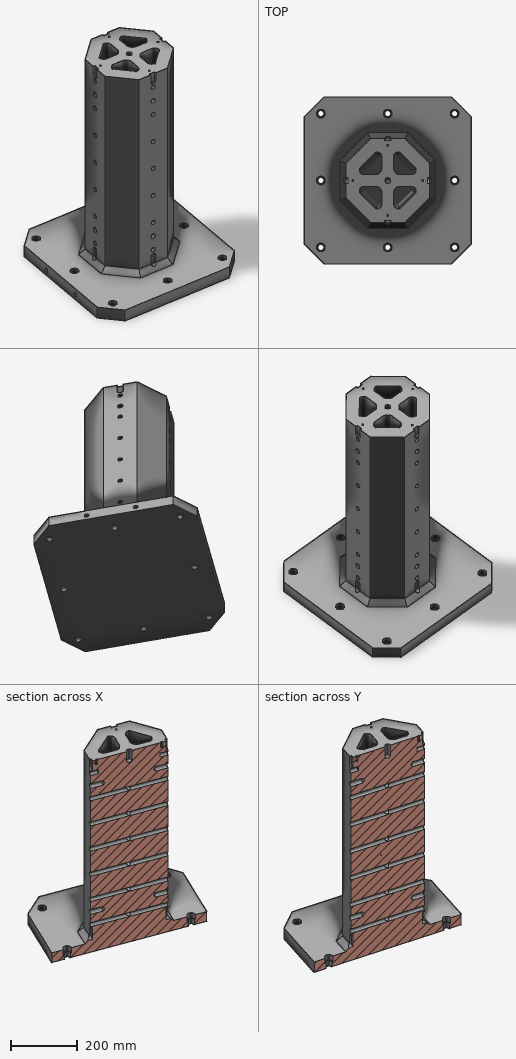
import cadquery as cq
import math

total_height = 760
plate_size = 500.0
plate_thickness = 40.0
plate_corner_cut = 60.0

column_width = 250.0
foot_flare = 18.0
foot_angle = 45

core_width = 170.0
core_floor_z = plate_thickness
core_floor_radius = 15
web_thickness = 35.0
pocket_inner_radius = 20.0
pocket_outer_radius = 15

hole_step = 50.0
through_hole_steps = (3, 5, 7, 9, 11, 13)
through_hole_diameter = 14.0
drilled_hole_steps = (2, 12)
drilled_hole_diameter = 16.0
drilled_hole_depth = 40.0
drill_point_angle = 118
locating_hole_step = 1
locating_hole_diameter = 14.0
locating_hole_depth = 25.0

slot_width = 18.0
slot_depth = 6.0
top_slot_length = 37.0
bottom_slot_low_z = 52.0
bottom_slot_high_z = 95.0

center_hole_diameter = 17.5
center_hole_depth = 40.0
pin_hole_diameter = 5.0
pin_hole_offset = 105.0
pin_hole_depth = 20.0

bolt_spacing = 200.0
bolt_hole_diameter = 18.0
bolt_head_diameter = 26.0
bolt_head_depth = 20.0
side_hole_offset = 75.0
side_hole_z = 18.0
side_hole_diameter = 14.0
side_hole_depth = 30.5

face_distance = column_width / 2


def octagon(width):
    """Corner points of a regular octagon with flats facing X and Y."""
    circle_diameter = width / math.cos(math.pi / 8)
    corner_radius = circle_diameter / 2
    angles = [math.pi / 8 + index * math.pi / 4 for index in range(8)]
    return [(corner_radius * math.cos(angle), corner_radius * math.sin(angle)) for angle in angles]


def octagon_prism(width, low_z, high_z):
    return cq.Workplane("XY", origin=(0, 0, low_z)).polyline(octagon(width)).close().extrude(high_z - low_z)


def drilled_hole(diameter, depth):
    """Blind hole with a drill point, entering the XY plane downwards at the origin."""
    radius = diameter / 2
    point_length = radius / math.tan(math.radians(drill_point_angle / 2))
    profile = [(0, 0), (radius, 0), (radius, -depth), (0, -depth - point_length)]
    return cq.Workplane("XZ").polyline(profile).close().revolve(360, (0, 0), (0, 1))


def facing_front(tool):
    """Turn a tool that enters downwards so that it enters towards +Y."""
    return tool.rotate((0, 0, 0), (1, 0, 0), 90)


def on_four_faces(tool):
    """Copies of a tool for the -Y face, repeated around the column."""
    return [tool.rotate((0, 0, 0), (0, 0, 1), quarter * 90) for quarter in range(4)]


def make_body():
    plate = cq.Workplane("XY").box(plate_size, plate_size, plate_thickness, centered=(True, True, False))
    plate = plate.edges("|Z").chamfer(plate_corner_cut)
    column = octagon_prism(column_width, plate_thickness, total_height)
    foot = cq.Workplane("XY", origin=(0, 0, plate_thickness))
    foot = foot.polyline(octagon(column_width + 2 * foot_flare)).close().extrude(foot_flare, taper=foot_angle)
    return plate.union(column).union(foot)


def make_pockets():
    """Four pockets with rounded upright edges and a floor that curves up into the core flats."""
    rounded_core = octagon_prism(core_width, core_floor_z, total_height)
    rounded_core = rounded_core.faces("<Z").edges().fillet(core_floor_radius)

    near = web_thickness / 2
    far = core_width / 2
    flat_end = far * math.tan(math.pi / 8)
    outline = [(near, near), (far, near), (far, flat_end), (flat_end, far), (near, far)]
    pocket = cq.Workplane("XY", origin=(0, 0, core_floor_z)).polyline(outline).close()
    pocket = pocket.extrude(total_height - core_floor_z)
    middle_z = (core_floor_z + total_height) / 2
    pocket = pocket.edges(cq.NearestToPointSelector((near, near, middle_z))).fillet(pocket_inner_radius)
    for corner in ((far, near, middle_z), (near, far, middle_z)):
        pocket = pocket.edges(cq.NearestToPointSelector(corner)).fillet(pocket_outer_radius)
    return on_four_faces(pocket.intersect(rounded_core))


def face_hole(step, tool):
    """Place a face hole on the -Y face, a number of steps below the top."""
    return facing_front(tool).translate((0, -face_distance, total_height - step * hole_step))


def make_face_holes():
    tools = []
    for step in through_hole_steps:
        across = cq.Workplane("XY").circle(through_hole_diameter / 2).extrude(-column_width)
        for turn in (0, 90):
            tools.append(face_hole(step, across).rotate((0, 0, 0), (0, 0, 1), turn))
    for step in drilled_hole_steps:
        tools += on_four_faces(face_hole(step, drilled_hole(drilled_hole_diameter, drilled_hole_depth)))
    locating = cq.Workplane("XY").circle(locating_hole_diameter / 2).extrude(-locating_hole_depth)
    tools += on_four_faces(face_hole(locating_hole_step, locating))
    return tools


def key_slot(low_z, high_z):
    """Round-ended slot on the -Y face, long enough outwards to clear the foot."""
    length = high_z - low_z
    slot = cq.Workplane("XY").slot2D(length, slot_width, 90).extrude(slot_depth + foot_flare)
    slot_floor_y = slot_depth - face_distance
    return facing_front(slot).translate((0, slot_floor_y, (low_z + high_z) / 2))


def make_key_slots():
    top_slot = key_slot(total_height - top_slot_length, total_height + slot_width)
    bottom_slot = key_slot(bottom_slot_low_z, bottom_slot_high_z)
    return on_four_faces(top_slot) + on_four_faces(bottom_slot)


def make_top_holes():
    center_hole = drilled_hole(center_hole_diameter, center_hole_depth).translate((0, 0, total_height))
    pin_hole = cq.Workplane("XY").circle(pin_hole_diameter / 2).extrude(-pin_hole_depth)
    return [center_hole] + on_four_faces(pin_hole.translate((0, -pin_hole_offset, total_height)))


def make_plate_holes():
    """Counterbored bolt holes around the plate edge and two drilled holes in its -Y side."""
    tools = []
    bolt_tool = cq.Workplane("XY").circle(bolt_hole_diameter / 2).extrude(-plate_thickness)
    bolt_tool = bolt_tool.union(cq.Workplane("XY").circle(bolt_head_diameter / 2).extrude(-bolt_head_depth))
    for x in (-bolt_spacing, 0, bolt_spacing):
        for y in (-bolt_spacing, 0, bolt_spacing):
            if (x, y) != (0, 0):
                tools.append(bolt_tool.translate((x, y, plate_thickness)))
    side_hole = facing_front(drilled_hole(side_hole_diameter, side_hole_depth))
    for x in (-side_hole_offset, side_hole_offset):
        tools.append(side_hole.translate((x, -plate_size / 2, side_hole_z)))
    return tools


result = make_body()
cuts = make_pockets() + make_face_holes() + make_key_slots() + make_top_holes() + make_plate_holes()
for cut in cuts:
    result = result.cut(cut)